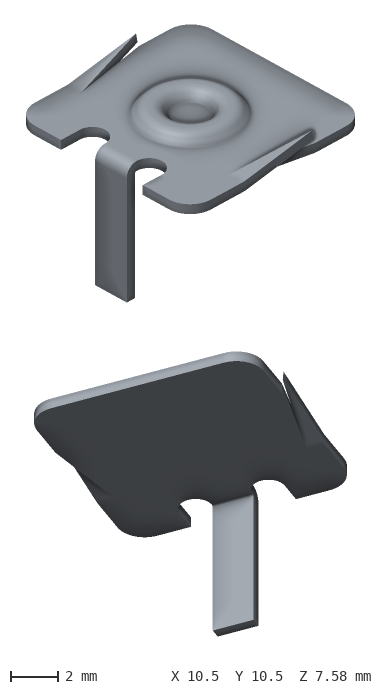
import cadquery as cq
import math

side = 10.54
half_side = side / 2
thickness = 0.5
corner_radius = 1.25

tab_width = 1.9
tab_drop = 6.37
tab_face_y = -4.73
bend_inner_radius = 0.1
bend_outer_radius = bend_inner_radius + thickness
bend_start_y = tab_face_y + bend_outer_radius
notch_radius = 0.75

ring_height = thickness
crest_inner_radius = 1.65
crest_outer_radius = 1.82
crest_fillet = 0.63
foot_fillet = 0.2
flank_angle = math.radians(45)

tang_width = 0.8
tang_length = 3.98
tang_angle = 10.0
tang_bend_y = -2.18
tang_bend_radius = 1.5
slit_root_y = -1.92
slit_tip_y = 2.18


def make_plate():
    plate = cq.Workplane("XY").rect(side, side).extrude(thickness)
    return plate.edges("|Z").fillet(corner_radius)


def cut_notches(plate):
    """Cut a round-ended notch beside each edge of the tab and clear the space in front of it."""
    edge_y = -half_side
    for direction in (-1, 1):
        centre_x = direction * (tab_width / 2 + notch_radius)
        depth = bend_start_y - edge_y
        slot = (
            cq.Workplane("XY")
            .center(centre_x, edge_y + depth / 2)
            .rect(2 * notch_radius, depth)
            .extrude(thickness)
        )
        slot_end = cq.Workplane("XY").center(centre_x, bend_start_y).circle(notch_radius).extrude(thickness)
        plate = plate.cut(slot).cut(slot_end)
    front_gap = (
        cq.Workplane("XY")
        .center(0, (edge_y + bend_start_y) / 2)
        .rect(tab_width, bend_start_y - edge_y)
        .extrude(thickness)
    )
    return plate.cut(front_gap)


def make_tab():
    bend_centre_z = thickness - bend_outer_radius
    diagonal = math.sqrt(0.5)

    def on_bend(radius):
        return bend_start_y - radius * diagonal, bend_centre_z + radius * diagonal

    return (
        cq.Workplane("YZ")
        .moveTo(bend_start_y, thickness)
        .threePointArc(on_bend(bend_outer_radius), (tab_face_y, bend_centre_z))
        .lineTo(tab_face_y, -tab_drop)
        .lineTo(tab_face_y + thickness, -tab_drop)
        .lineTo(tab_face_y + thickness, bend_centre_z)
        .threePointArc(on_bend(bend_inner_radius), (bend_start_y, 0))
        .close()
        .extrude(tab_width / 2, both=True)
    )


def make_ring():
    """Revolve the embossing: foot fillet, flank and crest fillet on each side of a flat crest."""
    base_z = thickness
    crest_z = base_z + ring_height

    def run(radius, angle):
        return radius * math.sin(angle)

    def rise(radius, angle):
        return radius * (1 - math.cos(angle))

    half_angle = flank_angle / 2
    crest_run = run(crest_fillet, flank_angle)
    flank_top_z = crest_z - rise(crest_fillet, flank_angle)
    flank_bottom_z = base_z + rise(foot_fillet, flank_angle)
    flank_run = (flank_top_z - flank_bottom_z) / math.tan(flank_angle)
    flank_bottom_offset = crest_run + flank_run
    foot_offset = flank_bottom_offset + run(foot_fillet, flank_angle)

    crest = (0, crest_z)
    crest_mid = (run(crest_fillet, half_angle), crest_z - rise(crest_fillet, half_angle))
    flank_top = (crest_run, flank_top_z)
    flank_bottom = (flank_bottom_offset, flank_bottom_z)
    foot_mid = (foot_offset - run(foot_fillet, half_angle), base_z + rise(foot_fillet, half_angle))
    foot = (foot_offset, base_z)

    def inner(point):
        return crest_inner_radius - point[0], point[1]

    def outer(point):
        return crest_outer_radius + point[0], point[1]

    return (
        cq.Workplane("XZ")
        .moveTo(inner(foot)[0], 0)
        .lineTo(*inner(foot))
        .threePointArc(inner(foot_mid), inner(flank_bottom))
        .lineTo(*inner(flank_top))
        .threePointArc(inner(crest_mid), inner(crest))
        .lineTo(*outer(crest))
        .threePointArc(outer(crest_mid), outer(flank_top))
        .lineTo(*outer(flank_bottom))
        .threePointArc(outer(foot_mid), outer(foot))
        .lineTo(outer(foot)[0], 0)
        .close()
        .revolve(360, (0, 0, 0), (0, 1, 0))
    )


def make_slit():
    """Opening left in the plate by the tang on the +X side."""
    root_x = half_side - tang_width
    return (
        cq.Workplane("XY")
        .polyline([
            (half_side, tang_bend_y),
            (root_x, tang_bend_y),
            (root_x, slit_root_y),
            (half_side, slit_tip_y),
        ])
        .close()
        .extrude(thickness)
    )


def make_tang():
    """Tang on the +X side: a bent root strip followed by a flat triangle."""
    root_x = half_side - tang_width
    axis_z = thickness + tang_bend_radius
    axis_start = (root_x, tang_bend_y, axis_z)
    axis_end = (half_side, tang_bend_y, axis_z)
    root = (
        cq.Workplane("XZ", origin=(0, tang_bend_y, 0))
        .center(half_side - tang_width / 2, thickness / 2)
        .rect(tang_width, thickness)
        .revolve(tang_angle, (0, axis_z - thickness / 2, 0), (1, axis_z - thickness / 2, 0))
    )
    blade = (
        cq.Workplane("XY")
        .polyline([
            (root_x, tang_bend_y),
            (half_side, tang_bend_y),
            (half_side, tang_bend_y + tang_length),
        ])
        .close()
        .extrude(thickness)
        .rotate(axis_start, axis_end, tang_angle)
    )
    return root.union(blade)


slit = make_slit()
tang = make_tang()
plate = cut_notches(make_plate())
plate = plate.cut(slit).cut(slit.mirror("YZ"))
result = plate.union(make_tab()).union(make_ring()).union(tang).union(tang.mirror("YZ"))